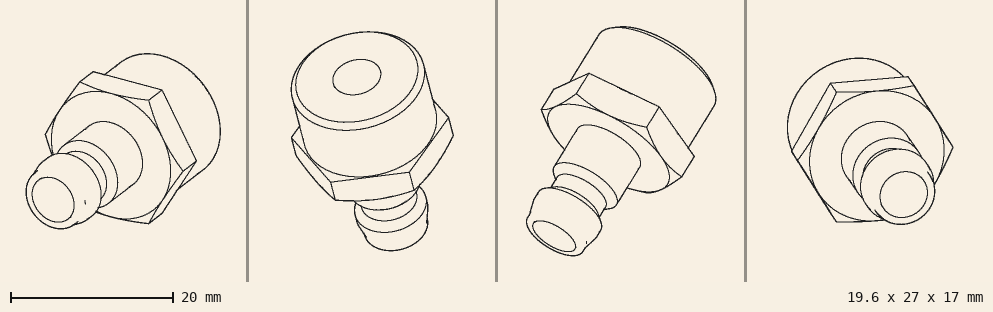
import cadquery as cq
import math

total_length = 27.0
thread_length = 9.02
hex_length = 4.0
neck_length = 6.0
groove_bevel = 1.0
groove_length = 2.0
collar_length = 1.1
tip_length = 1.0

thread_diameter = 16.65
thread_chamfer = 0.7
hex_across_flats = 17.0
hex_chamfer_angle = 30.0
nozzle_diameter = 9.0
tip_diameter = 8.0
tip_edge_radius = 0.3
bore_diameter = 6.0
nose_arc_radius = 10.0

hex_back = total_length - thread_length
hex_front = hex_back - hex_length
groove_back = hex_front - neck_length
groove_floor_back = groove_back - groove_bevel
groove_floor_front = groove_floor_back - groove_length
collar_back = groove_floor_front - groove_bevel
collar_front = collar_back - collar_length

thread_radius = thread_diameter / 2
nozzle_radius = nozzle_diameter / 2
groove_radius = nozzle_radius - groove_bevel
tip_radius = tip_diameter / 2


def revolve_about_y(profile):
    """Turn a closed XY half profile around the Y axis."""
    return profile.close().revolve(360, (0, 0, 0), (0, 1, 0))


def make_threaded_end():
    """Plain cylinder for the thread, chamfered at its free end."""
    return revolve_about_y(
        cq.Workplane("XY")
        .moveTo(0, hex_back)
        .lineTo(thread_radius, hex_back)
        .lineTo(thread_radius, total_length - thread_chamfer)
        .lineTo(thread_radius - thread_chamfer, total_length)
        .lineTo(0, total_length)
    )


def make_hexagon():
    """Hexagon with corners on the X axis, its front corners cut by a cone."""
    corner_diameter = hex_across_flats / math.cos(math.radians(30))
    prism = (
        cq.Workplane("XZ", origin=(0, hex_back, 0))
        .polygon(6, corner_diameter)
        .extrude(hex_length)
    )
    face_radius = hex_across_flats / 2
    cone_growth = hex_length / math.tan(math.radians(hex_chamfer_angle))
    cone = revolve_about_y(
        cq.Workplane("XY")
        .moveTo(0, hex_front)
        .lineTo(face_radius, hex_front)
        .lineTo(face_radius + cone_growth, hex_back)
        .lineTo(0, hex_back)
    )
    return prism.intersect(cone)


def make_nozzle():
    """Plug nozzle: neck, bevelled locking groove, collar, bulging nose and tip."""
    return revolve_about_y(
        cq.Workplane("XY")
        .moveTo(0, hex_front)
        .lineTo(nozzle_radius, hex_front)
        .lineTo(nozzle_radius, groove_back)
        .lineTo(groove_radius, groove_floor_back)
        .lineTo(groove_radius, groove_floor_front)
        .lineTo(nozzle_radius, collar_back)
        .lineTo(nozzle_radius, collar_front)
        .radiusArc((tip_radius, tip_length), nose_arc_radius)
        .lineTo(tip_radius, tip_edge_radius)
        .radiusArc((tip_radius - tip_edge_radius, 0), tip_edge_radius)
        .lineTo(0, 0)
    )


def make_bore():
    """Through bore along the whole part."""
    return (
        cq.Workplane("XZ", origin=(0, total_length, 0))
        .circle(bore_diameter / 2)
        .extrude(total_length)
    )


body = make_threaded_end().union(make_hexagon()).union(make_nozzle())
result = body.cut(make_bore())